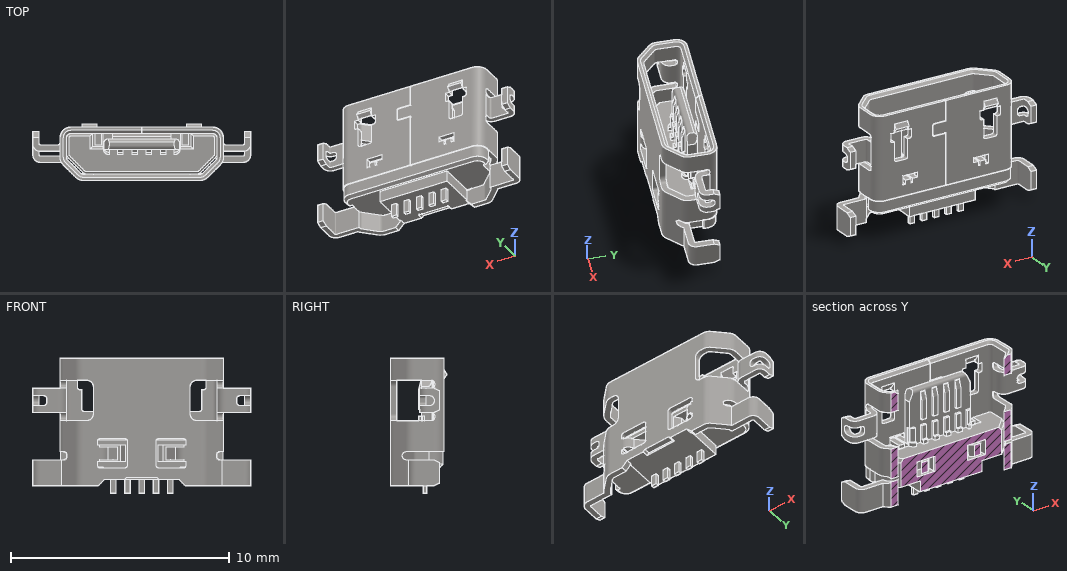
import cadquery as cq
import math


sheet = 0.30
half_width = 3.75
depth = 2.46
height = 5.86
bevel_leg = 0.87
corner_radius = 0.50
rim_chamfer = 0.15
rear_edge_z = 1.57
overcut = 1.0
full_round = 0.99

seam_gap = 0.03
seam_neck_z = 4.85
seam_head_width = 0.70
seam_head_height = 0.65
seam_head_radius = 0.10

opening_bottom = 3.00
opening_top = 4.84
opening_inner_x = 2.22
opening_radius = 0.30
opening_rear_y = 1.87
relief_depth = 0.17
tab_half_span = 5.00
tab_rear_y = 2.26
tab_bend_radius = 0.35
tab_tip_length = 0.28
tab_tip_drop = 0.13
upper_tab_bottom = 3.36
upper_tab_top = 4.49
upper_tab_front_y = 1.34
root_bend_radius = 0.10
tab_slot_bottom = 3.69
tab_slot_top = 4.14
tab_slot_inner_x = 4.36
tab_slot_radius = 0.15
tab_slot_rear_y = 2.02
lower_tab_top = 1.20
lower_tab_front_y = 0.83
lower_relief_y = 0.54
lower_tab_root_x = 3.52

foot_gap_half = 2.00
foot_gap_top_half = 1.71
foot_gap_height = 0.295
foot_notch_half = 0.79
foot_notch_top_half = 0.68
foot_notch_height = 0.10
latch_inner_x = 0.65
latch_outer_x = 2.03
latch_bottom = 0.83
latch_top = 2.17
latch_radius = 0.13
latch_pocket_inner_x = 0.74
latch_pocket_floor_x = 0.97
latch_pocket_bottom = 1.13
latch_pocket_top = 1.87
latch_pocket_depth = 0.80
latch_pocket_slope_depth = 0.30
flap_root_x = 1.93
flap_tip_x = 1.12
flap_bend_x = 1.55
flap_tip_y = 0.75
flap_bottom = 1.20
flap_top = 1.79
flap_sheet = 0.20
flap_arc_x = 0.22

spring_hole_x = 2.395
spring_hole_half = 0.35
spring_hole_bottom = 3.42
spring_hole_top = 5.33
spring_hole_radius = 0.10
cross_half = 0.55
cross_bottom = 4.42
cross_top = 4.88
bump_y = 2.60
bump_z = 5.11
bump_bottom = 4.91
finger_inner_x = 1.85
finger_outer_x = 2.155
finger_front_y = 1.64
finger_bottom = 2.15
finger_top = 2.36
finger_hole_inner_x = 1.50
finger_hole_outer_x = 2.29
finger_hole_top = 2.60

base_top = 2.30
base_chamfer_width = 0.11
base_chamfer_height = 0.19
base_bevel_gap = 0.09
base_foot_z = 0.85
core_half = 1.77
core_bottom = foot_gap_height
flange_half_width = 3.73
flange_rear_y = 2.42
flange_front_y = 1.76
flange_chamfer = 0.15
notch_half = 2.26
notch_front_y = 1.56
notch_floor = 2.05
root_top = finger_top
ledge_half = 1.33
ledge_top = 2.60
ledge_bend_y = 2.03

tongue_half = 1.74
tongue_top_half = 1.49
tongue_top = 5.05
tongue_taper_z = 4.55
tongue_front_y = 1.42
tongue_rear_y = 1.91
tongue_front_radius = 0.18
tongue_top_rear_y = 1.76
tongue_rear_z = 4.95
tongue_rear_radius = 0.20
rib_y = 1.295
rib_foot_y = 1.19
rib_bottom = 3.50
rib_slope_bottom = 4.45
rib_slope_top = 4.90
rib_foot_top = 3.20
rib_foot_bend = 2.50
rib_width = 0.26
post_radius = 0.27

pin_count = 5
pin_pitch = 0.655
pin_width = 0.26
pin_front_y = 1.505
pin_rear_y = 1.67
pin_bottom = -0.34
pin_embed = 0.26


def block(x0, x1, y0, y1, z0, z1):
    return cq.Workplane("XY").box(x1 - x0, y1 - y0, z1 - z0, centered=False).translate((x0, y0, z0))


def extrude_x(points, x0, x1):
    """Prism along X over an outline of (Y, Z) points."""
    return cq.Workplane("YZ").polyline(points).close().extrude(x1 - x0).translate((x0, 0, 0))


def extrude_y(points, y0, y1):
    """Prism along Y over an outline of (X, Z) points."""
    return cq.Workplane("XZ").polyline(points).close().extrude(y0 - y1).translate((0, y0, 0))


def extrude_z(points, z0, z1):
    """Prism along Z over an outline of (X, Y) points."""
    return cq.Workplane("XY").polyline(points).close().extrude(z1 - z0).translate((0, 0, z0))


def both_sides(body):
    """The body, drawn for the -X side, together with its mirror image."""
    return body.union(body.mirror("YZ"))


def trapezoid(bottom_half, top_half, z0, z1):
    return [(-bottom_half, z0), (bottom_half, z0), (top_half, z1), (-top_half, z1)]


def shell_prism(inset, z0, z1, bevel_gap=0.0):
    """Prism of the shell outline, moved inward by inset; bevel_gap moves only the two bevels further."""
    side = half_width - inset
    bevel_shift = inset * math.tan(math.pi / 8) + bevel_gap * math.sqrt(2)
    bevel_y = bevel_leg + bevel_shift
    bevel_x = half_width - bevel_leg - bevel_shift
    rear = depth - inset
    outline = [(-bevel_x, inset), (bevel_x, inset), (side, bevel_y)]
    outline += [(side, rear), (-side, rear), (-side, bevel_y)]
    return extrude_z(outline, z0, z1).edges("|Z").fillet(corner_radius - inset)


def shell_tube():
    tube = shell_prism(0, 0, height).cut(shell_prism(sheet, 0, height))
    rim_edges = tube.faces(">Z").val().innerWires()[0].Edges()
    return tube.newObject(rim_edges).chamfer(rim_chamfer)


def seam():
    """Thin gap that runs down the rear wall around a wider locking head."""
    y0 = depth - sheet - seam_gap
    y1 = depth + seam_gap
    half_gap = seam_gap / 2
    head_bottom = seam_neck_z - seam_head_height
    gap = block(-half_gap, half_gap, y0, y1, seam_neck_z, height)
    gap = gap.union(block(-half_gap, half_gap, y0, y1, rear_edge_z, head_bottom))
    head = block(-half_gap, seam_head_width, y0, y1, head_bottom, seam_neck_z)
    head_core = block(
        -overcut, seam_head_width - seam_gap, y0, y1, head_bottom + seam_gap, seam_neck_z - seam_gap
    )
    head = head.edges("|Y and >X").fillet(seam_head_radius)
    head_core = head_core.edges("|Y and >X").fillet(seam_head_radius - seam_gap)
    return gap.union(head.cut(head_core))


def side_opening():
    """Opening through the front corner and side wall, with two round-ended reliefs beside the tab."""
    outside_x = -half_width - overcut
    inside_x = sheet - half_width
    relief_rear_y = opening_rear_y + relief_depth
    opening = block(outside_x, -opening_inner_x, -overcut, opening_rear_y, opening_bottom, opening_top)
    opening = opening.edges("|Y and >X").fillet(opening_radius)
    for z0, z1 in ((opening_bottom, upper_tab_bottom), (upper_tab_top, opening_top)):
        relief = block(outside_x, inside_x, opening_rear_y - overcut, relief_rear_y, z0, z1)
        opening = opening.union(relief.edges("|X and >Y").fillet(relief_depth))
    return opening


def lower_cut():
    """Removes the side and rear walls below the rear edge and leaves a round relief over the lower tab."""
    rear_y = lower_tab_front_y + sheet
    cut = block(-half_width - overcut, half_width + overcut, rear_y, depth + overcut, -overcut, rear_edge_z)
    relief_radius = (rear_edge_z - lower_tab_top) / 2
    relief = block(
        -half_width - overcut, half_width + overcut, lower_relief_y, rear_y, lower_tab_top, rear_edge_z
    )
    return cut.union(relief.edges("|X and <Y").fillet(full_round * relief_radius))


def bent_tab(front_y, root_x, z0, z1):
    """L-shaped strip: an arm along X that turns to +Y, with bevelled corners at its tip."""
    tab = block(-tab_half_span, -root_x, front_y, tab_rear_y, z0, z1)
    inside = block(sheet - tab_half_span, -root_x, front_y + sheet, tab_rear_y, z0, z1)
    tab = tab.edges("|Z and <X and <Y").fillet(tab_bend_radius)
    tab = tab.cut(inside.edges("|Z and <X and <Y").fillet(tab_bend_radius - sheet))
    tip_y = tab_rear_y - tab_tip_length
    for edge_z, drop in ((z0, tab_tip_drop), (z1, -tab_tip_drop)):
        corner = [(tip_y, edge_z), (tab_rear_y, edge_z), (tab_rear_y, edge_z + drop)]
        tab = tab.cut(extrude_x(corner, -tab_half_span, sheet - tab_half_span))
    return tab


def upper_tab():
    tab = bent_tab(upper_tab_front_y, half_width, upper_tab_bottom, upper_tab_top)
    slot_height = tab_slot_top - tab_slot_bottom
    arm_slot_rear_y = upper_tab_front_y + tab_bend_radius
    arm_slot = block(-tab_half_span, -tab_slot_inner_x, 0, arm_slot_rear_y, tab_slot_bottom, tab_slot_top)
    leg_slot = block(
        -tab_half_span, sheet - tab_half_span, 0, tab_slot_rear_y, tab_slot_bottom, tab_slot_top
    )
    tab = tab.cut(arm_slot.edges("|Y and >X").fillet(tab_slot_radius))
    tab = tab.cut(leg_slot.edges("|X and >Y").fillet(full_round * slot_height / 2))

    outer_radius = root_bend_radius + sheet
    center_x = -half_width - root_bend_radius
    center_y = upper_tab_front_y + outer_radius
    bend = cq.Workplane("XY").center(center_x, center_y).circle(outer_radius).circle(root_bend_radius)
    bend = bend.extrude(upper_tab_top - upper_tab_bottom).translate((0, 0, upper_tab_bottom))
    quarter = block(
        center_x, center_x + outer_radius, center_y - outer_radius, center_y, upper_tab_bottom, upper_tab_top
    )
    arm_end = block(center_x, -half_width, 0, depth, upper_tab_bottom, upper_tab_top)
    wall_rear_y = opening_rear_y + relief_depth
    wall = block(-half_width, sheet - half_width, center_y, wall_rear_y, upper_tab_bottom, upper_tab_top)
    return tab.cut(arm_end).union(bend.intersect(quarter)).union(wall)


def latch_window():
    """Opening in the front wall that frees the latch flap on three sides."""
    window = block(-latch_outer_x, -latch_inner_x, -overcut, sheet, latch_bottom, latch_top)
    window = window.edges("|Y").fillet(latch_radius)
    hinge = block(-latch_outer_x, -flap_root_x, -overcut, sheet, latch_pocket_bottom, latch_pocket_top)
    return window.cut(hinge)


def latch_flap():
    """Strip hinged at the outer edge of its window and bent inward."""
    front_bend = flap_tip_y - (flap_bend_x - flap_tip_x)
    outline = (
        cq.Workplane("XY")
        .moveTo(-flap_root_x, 0)
        .threePointArc((-flap_root_x + flap_arc_x, front_bend / 4), (-flap_bend_x, front_bend))
        .lineTo(-flap_tip_x, flap_tip_y)
        .lineTo(-flap_tip_x - flap_sheet, flap_tip_y + flap_sheet)
        .lineTo(-flap_root_x, sheet)
        .close()
    )
    return outline.extrude(flap_top - flap_bottom).translate((0, 0, flap_bottom))


def foot_gap():
    """Recess in the lower front edge over the pins, with a shallow notch at its middle."""
    gap = extrude_y(trapezoid(foot_gap_half, foot_gap_top_half, 0, foot_gap_height), 0, sheet)
    notch_top = foot_gap_height + foot_notch_height
    notch = trapezoid(foot_notch_half, foot_notch_top_half, foot_gap_height, notch_top)
    return gap.union(extrude_y(notch, 0, sheet))


def spring_hole():
    """Cross-shaped hole in the rear wall."""
    y0 = depth - sheet
    left = -spring_hole_x - spring_hole_half
    right = -spring_hole_x + spring_hole_half
    slot = block(left, right, y0, depth, spring_hole_bottom, spring_hole_top)
    slot = slot.edges("|Y and <Z").fillet(spring_hole_radius)
    cross_left = -spring_hole_x - cross_half
    cross_right = -spring_hole_x + cross_half
    cross = block(cross_left, cross_right, y0, depth, cross_bottom, cross_top)
    return slot.union(cross.edges("|Y and <Z").fillet(spring_hole_radius))


def spring_bump():
    """Lip at the top of the spring hole, bent out to a ridge behind the rear wall."""
    profile = [(depth - sheet, spring_hole_top), (depth, spring_hole_top)]
    profile += [(bump_y, bump_z), (depth, bump_bottom)]
    return extrude_x(profile, -spring_hole_x - spring_hole_half, -spring_hole_x + spring_hole_half)


def shell():
    body = shell_tube().cut(seam()).cut(lower_cut()).cut(foot_gap())
    body = body.cut(both_sides(side_opening()))
    body = body.cut(both_sides(latch_window()))
    body = body.cut(both_sides(spring_hole()))
    finger_hole = block(
        -finger_hole_outer_x, -finger_hole_inner_x, depth - sheet, depth, finger_bottom, finger_hole_top
    )
    body = body.cut(both_sides(finger_hole))
    body = body.union(both_sides(upper_tab()))
    body = body.union(both_sides(bent_tab(lower_tab_front_y, lower_tab_root_x, 0, lower_tab_top)))
    body = body.union(both_sides(latch_flap()))
    body = body.union(both_sides(spring_bump()))
    finger = block(-finger_outer_x, -finger_inner_x, finger_front_y, depth, finger_bottom, finger_top)
    return body.union(both_sides(finger))


def flange():
    """Wider rear part of the insulator that stands under the rear and side walls of the shell."""
    body = block(
        -flange_half_width, flange_half_width, flange_front_y, flange_rear_y, base_foot_z, rear_edge_z
    )
    body = body.edges("|Z and >Y").fillet(corner_radius)
    return body.faces("<Z").edges(">Y").chamfer(flange_chamfer)


def latch_pocket():
    """Pocket behind a latch window, with a sloped inner wall."""
    floor_y = sheet + latch_pocket_depth
    outline = [(-flap_root_x, sheet), (-latch_pocket_inner_x, sheet)]
    outline += [(-latch_pocket_floor_x, sheet + latch_pocket_slope_depth)]
    outline += [(-latch_pocket_floor_x, floor_y), (-flap_root_x, floor_y)]
    return extrude_z(outline, latch_pocket_bottom, latch_pocket_top)


def rear_notch():
    """Notch behind and beside the tongue, with a sloped upper edge like that of the base."""
    rear_y = depth - sheet
    notch = block(-notch_half, notch_half, notch_front_y, rear_y, notch_floor, base_top)
    slope = math.degrees(math.atan2(base_chamfer_width, base_chamfer_height))
    mouth_front_y = notch_front_y - base_chamfer_width
    mouth_rear_y = rear_y + overcut
    mouth = cq.Workplane("XY", origin=(0, (mouth_front_y + mouth_rear_y) / 2, base_top))
    mouth = mouth.rect(2 * (notch_half + base_chamfer_width), mouth_rear_y - mouth_front_y)
    return notch.union(mouth.extrude(-base_chamfer_height, taper=slope))


def base():
    rear_y = depth - sheet
    body = shell_prism(sheet, base_foot_z, base_top, base_bevel_gap)
    body = body.faces(">Z").chamfer(base_chamfer_height, base_chamfer_width)
    body = body.cut(rear_notch())
    body = body.union(flange())
    body = body.union(block(-core_half, core_half, sheet, rear_y, core_bottom, rear_edge_z))
    body = body.cut(both_sides(latch_pocket()))
    sill = block(-core_half, -finger_hole_inner_x, rear_y, depth, finger_bottom, root_top)
    body = body.union(both_sides(sill))
    body = body.union(block(-core_half, core_half, rib_foot_y + post_radius, rear_y, notch_floor, root_top))
    ledge = [(tongue_rear_y, root_top), (rear_y, root_top)]
    ledge += [(ledge_bend_y, ledge_top), (tongue_rear_y, ledge_top)]
    return body.union(extrude_x(ledge, -ledge_half, ledge_half))


def tongue():
    profile = [
        (tongue_front_y, notch_floor),
        (tongue_rear_y, notch_floor),
        (tongue_rear_y, tongue_rear_z),
        (tongue_top_rear_y, tongue_top),
        (tongue_front_y, tongue_top),
    ]
    body = extrude_x(profile, -tongue_half, tongue_half)
    body = body.edges("|X and >Z and <Y").fillet(tongue_front_radius)
    body = body.edges("|Z and >Y").fillet(tongue_rear_radius)
    ends = [(-tongue_half, notch_floor), (tongue_half, notch_floor)]
    ends += [(tongue_half, tongue_taper_z), (tongue_top_half, tongue_top)]
    ends += [(-tongue_top_half, tongue_top), (-tongue_half, tongue_taper_z)]
    return body.intersect(extrude_y(ends, 0, depth))


def rib(x):
    """Rib between two contacts on the tongue front, with a separate thicker foot below it."""
    x0 = x - rib_width / 2
    x1 = x + rib_width / 2
    upper = [
        (tongue_front_y, rib_bottom),
        (tongue_front_y, rib_slope_top),
        (rib_y, rib_slope_bottom),
        (rib_y, rib_bottom),
    ]
    foot = [
        (tongue_front_y, base_top),
        (tongue_front_y, rib_foot_top),
        (rib_y, rib_foot_top),
        (rib_y, rib_foot_bend),
        (rib_foot_y, rib_foot_bend),
        (rib_foot_y, base_top),
    ]
    return extrude_x(upper, x0, x1).union(extrude_x(foot, x0, x1))


def end_posts():
    """Quarter-round posts at the front corners of the tongue, each with a foot set forward."""
    posts = cq.Workplane("XY")
    for front_y, top_z in ((rib_foot_y, rib_foot_bend), (rib_y, rib_foot_top)):
        post = cq.Workplane("XY").circle(post_radius).extrude(top_z - notch_floor)
        quarter = post.intersect(block(-post_radius, 0, -post_radius, 0, 0, top_z - notch_floor))
        posts = posts.add(quarter.translate((-tongue_top_half, front_y + post_radius, notch_floor)))
    return both_sides(posts.combine())


def insulator():
    body = base().union(tongue()).union(end_posts())
    rib_count = pin_count - 1
    for index in range(rib_count):
        body = body.union(rib((index - (rib_count - 1) / 2) * pin_pitch))
    return body


def pin(x):
    half = pin_width / 2
    return block(x - half, x + half, pin_front_y, pin_rear_y, pin_bottom, core_bottom + pin_embed)


result = insulator().union(shell())
for pin_index in range(pin_count):
    result = result.union(pin((pin_index - (pin_count - 1) / 2) * pin_pitch))